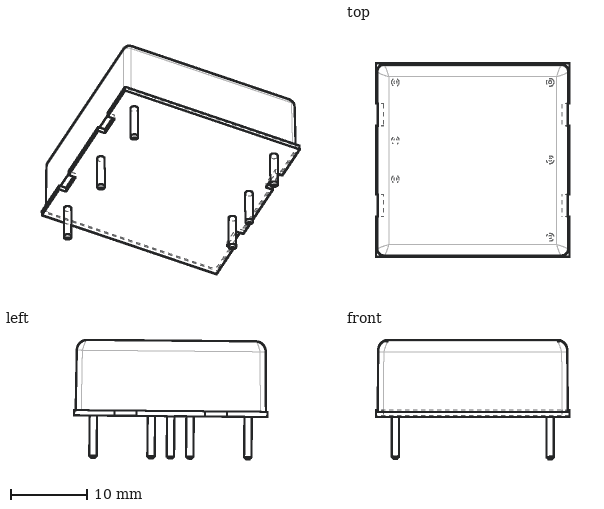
import cadquery as cq

PLATE_SIDE = 25.4
PLATE_THICKNESS = 0.7
NOTCH_WIDTH = 2.9
NOTCH_CENTER_Y = 5.95
NOTCH_DEPTH = 1.0

COVER_SIDE = 25.0
COVER_HEIGHT = 9.25
COVER_DRAFT = 0.6
COVER_TOP_RADIUS = 1.4
COVER_CORNER_RADIUS = 0.75

PITCH = 2.54
PIN_DIAMETER = 1.0
PIN_LENGTH = 5.55
PIN_TIP_CHAMFER = 0.3
PIN_ROW_X = 4 * PITCH
LEFT_PIN_Y = (4 * PITCH, PITCH, -PITCH)
RIGHT_PIN_Y = (4 * PITCH, 0, -4 * PITCH)

LEAN_ANGLE = 0.5


def make_plate():
    plate = cq.Workplane("XY").rect(PLATE_SIDE, PLATE_SIDE).extrude(PLATE_THICKNESS)
    notches = (
        cq.Workplane("XY")
        .rect(PLATE_SIDE, 2 * NOTCH_CENTER_Y, forConstruction=True)
        .vertices()
        .rect(2 * NOTCH_DEPTH, NOTCH_WIDTH)
        .extrude(PLATE_THICKNESS)
    )
    return plate.cut(notches)


def make_cover():
    block = (
        cq.Workplane("XY")
        .workplane(offset=PLATE_THICKNESS)
        .rect(COVER_SIDE, COVER_SIDE)
        .extrude(COVER_HEIGHT, taper=COVER_DRAFT)
    )
    rounded_sides = block.edges("not(|X or |Y)").fillet(COVER_CORNER_RADIUS)
    return rounded_sides.faces(">Z").edges().fillet(COVER_TOP_RADIUS)


def make_pin(x, y):
    return (
        cq.Workplane("XY")
        .center(x, y)
        .circle(PIN_DIAMETER / 2)
        .extrude(-PIN_LENGTH)
        .faces("<Z")
        .chamfer(PIN_TIP_CHAMFER)
    )


module = make_plate().union(make_cover())
for pin_y in LEFT_PIN_Y:
    module = module.union(make_pin(-PIN_ROW_X, pin_y))
for pin_y in RIGHT_PIN_Y:
    module = module.union(make_pin(PIN_ROW_X, pin_y))

result = module.rotate((0, 0, 0), (1, 0, 0), LEAN_ANGLE)